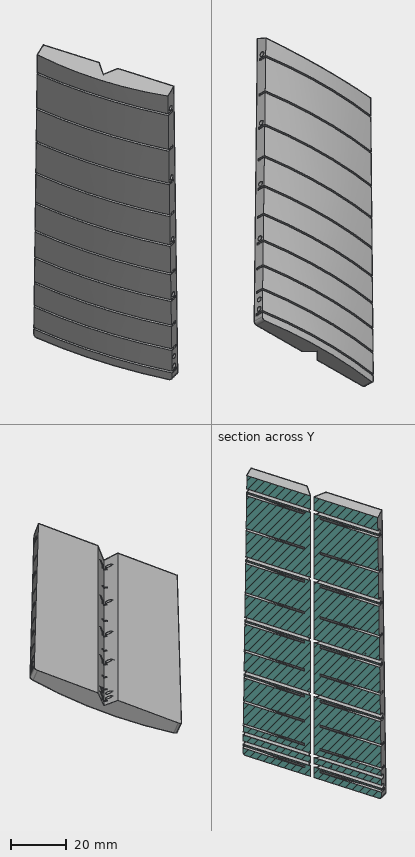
import cadquery as cq
import math

length = 123.8
bottom_width = 56.9
top_width = 53.7
straight_height = 3.0
corner_radius = 1.2

crown_thickness = 6.3
crown_radius = 184.2
top_bevel_drop = 2.6

groove_depth = 3.8

slot_count = 10
slot_width = 0.7
slot_depth = 3.1
first_slot_z = 114.0
scale_to_bridge = 272.4
semitone = 2 ** (1 / 12)

marker_diameter = 1.9
marker_setback = 2.5
marker_rise = 1.9
marker_slots = (0, 2, 4, 6, 9)
double_marker_gap = 4.1


def slot_z(index):
    """Height of a fret slot, counted from the top."""
    return first_slot_z - scale_to_bridge * (1 - semitone ** -index)


def crowned_bar(front_depth, z_bottom, z_top):
    """Bar with a flat back and a crowned front that reaches front_depth on the centre line."""
    half = bottom_width / 2
    edge_depth = front_depth - crown_radius + math.sqrt(crown_radius**2 - half**2)
    return (
        cq.Workplane("XY", origin=(0, 0, z_bottom))
        .moveTo(-half, 0)
        .lineTo(-half, -edge_depth)
        .threePointArc((0, -front_depth), (half, -edge_depth))
        .lineTo(half, 0)
        .close()
        .extrude(z_top - z_bottom)
    )


def tapered_outline():
    """Front outline of the board: tapered sides and rounded bottom corners."""
    return (
        cq.Workplane("XZ")
        .moveTo(-bottom_width / 2, 0)
        .lineTo(bottom_width / 2, 0)
        .lineTo(bottom_width / 2, straight_height)
        .lineTo(top_width / 2, length)
        .lineTo(-top_width / 2, length)
        .lineTo(-bottom_width / 2, straight_height)
        .close()
        .extrude(crown_thickness)
        .edges("|Y and <Z")
        .fillet(corner_radius)
    )


def top_bevel():
    """Wedge above the sloping top end."""
    return (
        cq.Workplane("YZ", origin=(-bottom_width / 2, 0, 0))
        .moveTo(0, length)
        .lineTo(-crown_thickness, length - top_bevel_drop)
        .lineTo(-crown_thickness, length)
        .close()
        .extrude(bottom_width)
    )


def back_groove():
    """V groove running the full length of the back."""
    return (
        cq.Workplane("XY")
        .moveTo(-groove_depth, 0)
        .lineTo(0, -groove_depth)
        .lineTo(groove_depth, 0)
        .close()
        .extrude(length)
    )


def fret_slot(z):
    """Slot cut from the front, its floor parallel to the crown."""
    bottom = z - slot_width / 2
    top = z + slot_width / 2
    space = cq.Workplane("XY").box(bottom_width, crown_thickness, slot_width)
    space = space.translate((0, -crown_thickness / 2, z))
    return space.cut(crowned_bar(crown_thickness - slot_depth, bottom, top))


def marker_hole(z):
    """Round hole across the full width."""
    return (
        cq.Workplane("YZ", origin=(-bottom_width / 2, -marker_setback, z))
        .circle(marker_diameter / 2)
        .extrude(bottom_width)
    )


result = crowned_bar(crown_thickness, 0, length).intersect(tapered_outline())
result = result.cut(top_bevel()).cut(back_groove())

for index in range(slot_count):
    result = result.cut(fret_slot(slot_z(index)))

marker_heights = [slot_z(index) + marker_rise for index in marker_slots]
marker_heights.append(marker_heights[-1] + double_marker_gap)
for height in marker_heights:
    result = result.cut(marker_hole(height))